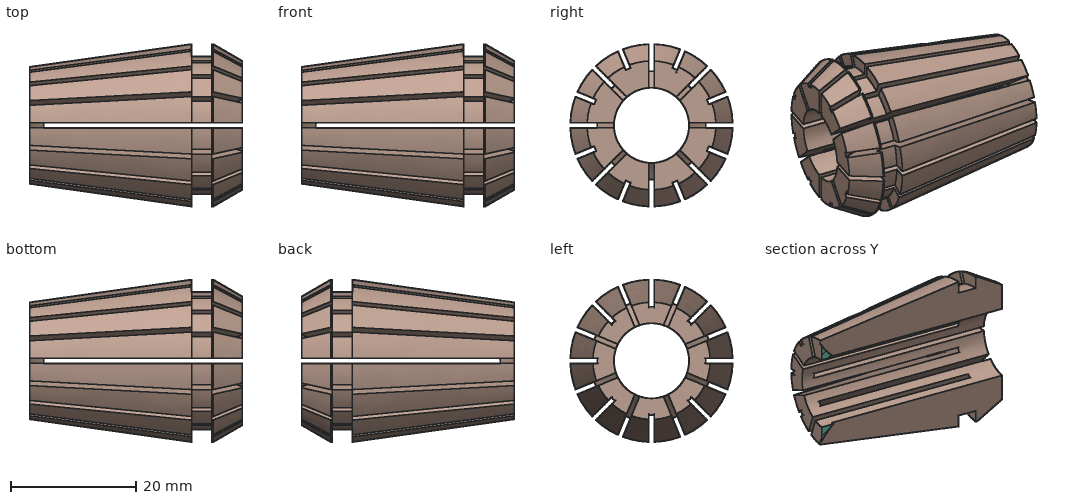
import cadquery as cq
import math

length = 34.0
outer_radius = 13.0
bore_radius = 6.0

taper_length = 25.87
taper_angle = 8.0

groove_width = 3.2
groove_radius = 11.0
head_rim_width = 0.25
head_angle = 30.0

slots_per_end = 8
slot_width = 0.8
saw_clearance = 0.2

nose_ramp_rim = 8.67
nose_ramp_run = 2.5
nose_saw_radius = 17.0
head_ramp_rim = 9.75
head_ramp_run = 5.37
head_saw_radius = 40.0

head_start = taper_length + groove_width
rim_end = head_start + head_rim_width
nose_radius = outer_radius - taper_length * math.tan(math.radians(taper_angle))
end_radius = outer_radius - (length - rim_end) * math.tan(math.radians(head_angle))
ramp_base_radius = bore_radius - saw_clearance
slot_pitch = 360.0 / slots_per_end


def collet_body():
    """Turned body: half profile revolved about X, bore included."""
    profile = (
        cq.Workplane("XY")
        .moveTo(0, bore_radius)
        .lineTo(0, nose_radius)
        .lineTo(taper_length, outer_radius)
        .lineTo(taper_length, groove_radius)
        .lineTo(head_start, groove_radius)
        .lineTo(head_start, outer_radius)
        .lineTo(rim_end, outer_radius)
        .lineTo(length, end_radius)
        .lineTo(length, bore_radius)
        .close()
    )
    return profile.revolve(360, (0, 0, 0), (1, 0, 0))


def slot_cutter(ramp_rim, ramp_run, saw_radius):
    """Slot along +Z whose ramp starts at x = 0 and which is open at x = length."""
    top = 2 * outer_radius
    profile = (
        cq.Workplane("XZ")
        .moveTo(0, ramp_rim)
        .radiusArc((ramp_run, ramp_base_radius), -saw_radius)
        .lineTo(ramp_run, 0)
        .lineTo(length, 0)
        .lineTo(length, top)
        .lineTo(0, top)
        .close()
    )
    return profile.extrude(slot_width / 2, both=True)


def cut_slots(body, cutter, first_angle):
    """Cut one evenly spaced set of slots around the X axis."""
    for index in range(slots_per_end):
        angle = first_angle + index * slot_pitch
        body = body.cut(cutter.rotate((0, 0, 0), (1, 0, 0), angle))
    return body


head_slot = slot_cutter(nose_ramp_rim, nose_ramp_run, nose_saw_radius)
nose_slot = slot_cutter(head_ramp_rim, head_ramp_run, head_saw_radius)
nose_slot = nose_slot.mirror("YZ").translate((length, 0, 0))

result = collet_body()
result = cut_slots(result, head_slot, 0)
result = cut_slots(result, nose_slot, slot_pitch / 2)